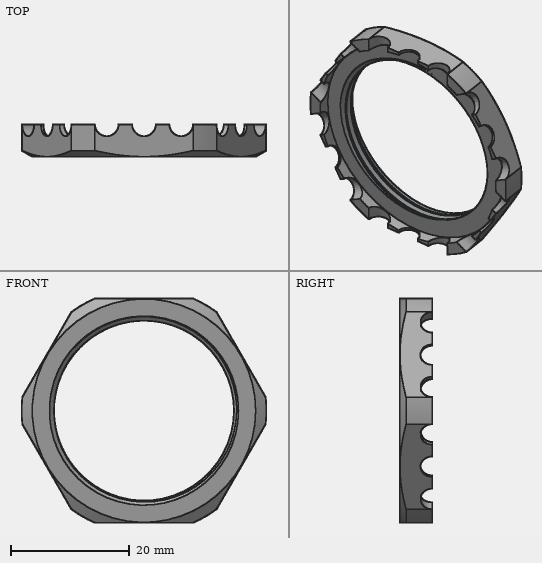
import cadquery as cq
import math

CORNER_DIAMETER = 41.45
ACROSS_FLATS = 38.0
THICKNESS = 5.5

BEVEL_RADIUS = 18.9
BEVEL_DEPTH = 1.08

MAJOR_RADIUS = 15.92
COUNTERSINK_RADIUS = 16.0
MINOR_RADIUS = 15.2
PITCH = 1.5
CREST_WIDTH = PITCH / 4
ROOT_WIDTH = PITCH / 8
OVERCUT = 0.25
THREAD_ANGLE = 225
CUT_TOLERANCE = 0.001

RECESS_RADIUS = 18.58
RECESS_DEPTH = 2.07

SIDES = 6
NOTCH_RADIUS = 2.0
NOTCH_SPACING = 6.3
NOTCH_START = 14.93

corner_radius = CORNER_DIAMETER / 2
front_y = -THICKNESS / 2
back_y = THICKNESS / 2
recess_y = back_y - RECESS_DEPTH


def revolve_profile(points):
    """Revolve a closed (radius, y) outline around the Y axis."""
    return cq.Workplane("XY").polyline(points).close().revolve(360, (0, 0, 0), (0, 1, 0))


def make_body():
    """Hexagon with corners and front face trimmed by a bevelled disc."""
    hexagon = (
        cq.Workplane("XZ", origin=(0, back_y, 0))
        .polygon(SIDES, ACROSS_FLATS / math.cos(math.pi / SIDES))
        .extrude(THICKNESS)
    )
    disc = revolve_profile([
        (0, front_y),
        (BEVEL_RADIUS, front_y),
        (corner_radius, front_y + BEVEL_DEPTH),
        (corner_radius, back_y),
        (0, back_y),
    ])
    return hexagon.intersect(disc)


def make_bore():
    """Countersunk bore opening into the wide recess in the back face."""
    countersink = COUNTERSINK_RADIUS - MINOR_RADIUS
    return revolve_profile([
        (0, front_y),
        (COUNTERSINK_RADIUS, front_y),
        (MINOR_RADIUS, front_y + countersink),
        (MINOR_RADIUS, recess_y),
        (RECESS_RADIUS, recess_y),
        (RECESS_RADIUS, back_y),
        (0, back_y),
    ])


def make_thread():
    """Helical groove cut outward from the minor to the major diameter."""
    start_y = front_y - PITCH
    length = THICKNESS - RECESS_DEPTH + 2 * PITCH
    inner = MINOR_RADIUS - OVERCUT
    half_mouth = (PITCH - CREST_WIDTH) / 2
    half_root = ROOT_WIDTH / 2
    path = cq.Wire.makeHelix(PITCH, length, MINOR_RADIUS)
    groove = (
        cq.Workplane("XZ")
        .polyline([
            (inner, -half_mouth),
            (MINOR_RADIUS, -half_mouth),
            (MAJOR_RADIUS, -half_root),
            (MAJOR_RADIUS, half_root),
            (MINOR_RADIUS, half_mouth),
            (inner, half_mouth),
        ])
        .close()
        .sweep(cq.Workplane(path), isFrenet=True)
    )
    groove = groove.rotate((0, 0, 0), (1, 0, 0), -90).translate((0, start_y, 0))
    return groove.rotate((0, 0, 0), (0, 1, 0), THREAD_ANGLE)


def make_notches(side):
    """Three parallel notches through the crown wall, square to one flat."""
    angle = side * 360 / SIDES
    return (
        cq.Workplane("XY", origin=(0, 0, NOTCH_START))
        .pushPoints([(i * NOTCH_SPACING, back_y) for i in (-1, 0, 1)])
        .circle(NOTCH_RADIUS)
        .extrude(CORNER_DIAMETER)
        .rotate((0, 0, 0), (0, 1, 0), angle)
    )


result = make_body().cut(make_bore())
for side in range(SIDES):
    result = result.cut(make_notches(side), clean=False)
result = result.cut(make_thread(), clean=False, tol=CUT_TOLERANCE)